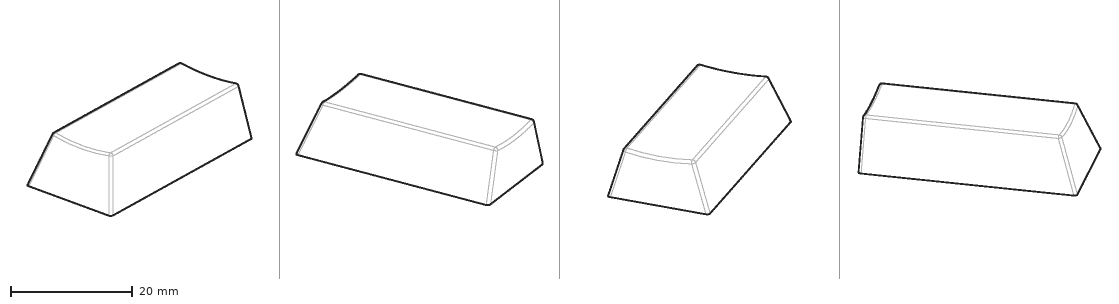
import cadquery as cq
import math

width = 18.1
length = 37.1

side_lean = 16.6
front_lean = 20.0
back_lean = 1.0

dish_radius = 37.1
dish_bottom = 8.85
edge_radius = 0.52

blank_height = 11.13


def inset(lean):
    """Horizontal distance a leaning wall moves inward over the blank height."""
    return blank_height * math.tan(math.radians(lean))


def side_blank():
    """Prism along Y with both long walls leaning inward."""
    half_base = width / 2
    half_top = half_base - inset(side_lean)
    return (
        cq.Workplane("XZ")
        .polyline([
            (-half_base, 0),
            (half_base, 0),
            (half_top, blank_height),
            (-half_top, blank_height),
        ])
        .close()
        .extrude(length / 2, both=True)
    )


def end_blank():
    """Prism along X with a sloping front wall and a nearly upright back wall."""
    front = -length / 2
    back = length / 2
    return (
        cq.Workplane("YZ")
        .polyline([
            (front, 0),
            (back, 0),
            (back - inset(back_lean), blank_height),
            (front + inset(front_lean), blank_height),
        ])
        .close()
        .extrude(width / 2, both=True)
    )


def dish_cutter():
    """Cylinder that hollows the top face across its width."""
    return (
        cq.Workplane("XZ")
        .center(0, dish_bottom + dish_radius)
        .circle(dish_radius)
        .extrude(length, both=True)
    )


keycap = side_blank().intersect(end_blank()).cut(dish_cutter())

result = keycap.edges("not(<Z)").fillet(edge_radius)